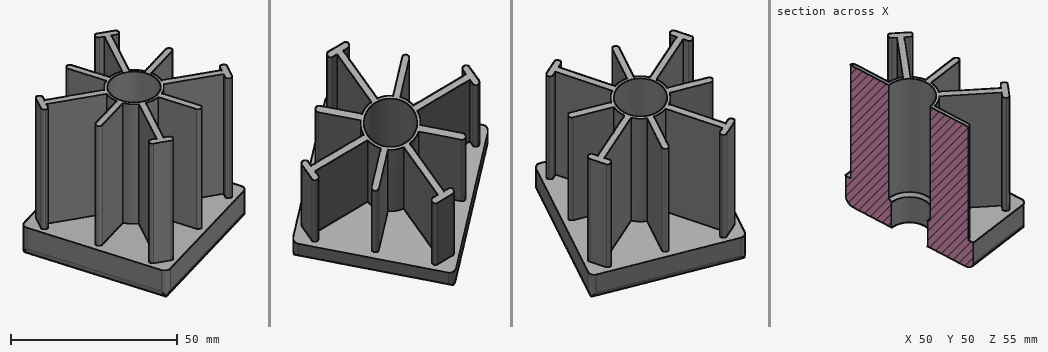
import cadquery as cq

BASE_SIDE = 50.0
BASE_HEIGHT = 11.0
CORNER_RADIUS = 2.0
BOTTOM_RADIUS = 3.3

TOTAL_HEIGHT = 55.0
TUBE_OUTER_DIAMETER = 18.0
TUBE_BORE_DIAMETER = 16.0
BASE_HOLE_DIAMETER = 13.85

RIB_THICKNESS = 2.2
RIB_REACH = 23.05
BAR_LENGTH = 7.5
BAR_END_RADIUS = 1.0
BAR_CENTER_RADIUS = 28.8

RIB_HEIGHT = TOTAL_HEIGHT - BASE_HEIGHT


def make_base():
    """Square cap with rounded uprights and mitred rounding along its bottom."""
    block = cq.Workplane("XY").box(BASE_SIDE, BASE_SIDE, BASE_HEIGHT, centered=(True, True, False))
    rounded_bottom = block.faces("<Z").edges().fillet(BOTTOM_RADIUS)
    rounded_corners = block.edges("|Z").fillet(CORNER_RADIUS)
    return rounded_bottom.intersect(rounded_corners)


def make_straight_rib(angle):
    """Rib from the axis outward, with a round tip."""
    length = RIB_REACH + RIB_THICKNESS / 2
    rib = (
        cq.Workplane("XY", origin=(0, 0, BASE_HEIGHT))
        .center(RIB_REACH - length / 2, 0)
        .slot2D(length, RIB_THICKNESS)
        .extrude(RIB_HEIGHT)
    )
    return rib.rotate((0, 0, 0), (0, 0, 1), angle)


def make_t_rib(angle):
    """Rib from the axis outward, ending in a rounded cross bar."""
    top_plane = cq.Workplane("XY", origin=(0, 0, BASE_HEIGHT))
    web = (
        top_plane.center(BAR_CENTER_RADIUS / 2, 0)
        .rect(BAR_CENTER_RADIUS, RIB_THICKNESS)
        .extrude(RIB_HEIGHT)
    )
    bar = (
        top_plane.center(BAR_CENTER_RADIUS, 0)
        .rect(RIB_THICKNESS, BAR_LENGTH)
        .extrude(RIB_HEIGHT)
        .edges("|Z")
        .fillet(BAR_END_RADIUS)
    )
    return web.union(bar).rotate((0, 0, 0), (0, 0, 1), angle)


def make_bore():
    """Straight bore down to the base, then a cone leading to a smaller through hole."""
    cone_depth = (TUBE_BORE_DIAMETER - BASE_HOLE_DIAMETER) / 2
    return (
        cq.Workplane("XZ")
        .lineTo(BASE_HOLE_DIAMETER / 2, 0)
        .lineTo(BASE_HOLE_DIAMETER / 2, BASE_HEIGHT - cone_depth)
        .lineTo(TUBE_BORE_DIAMETER / 2, BASE_HEIGHT)
        .lineTo(TUBE_BORE_DIAMETER / 2, TOTAL_HEIGHT)
        .lineTo(0, TOTAL_HEIGHT)
        .close()
        .revolve(360, (0, 0, 0), (0, 1, 0))
    )


tube = (
    cq.Workplane("XY", origin=(0, 0, BASE_HEIGHT))
    .circle(TUBE_OUTER_DIAMETER / 2)
    .extrude(RIB_HEIGHT)
)
body = make_base().union(tube)
for quarter_turn in (0, 90, 180, 270):
    body = body.union(make_straight_rib(quarter_turn))
    body = body.union(make_t_rib(quarter_turn + 45))

result = body.cut(make_bore())